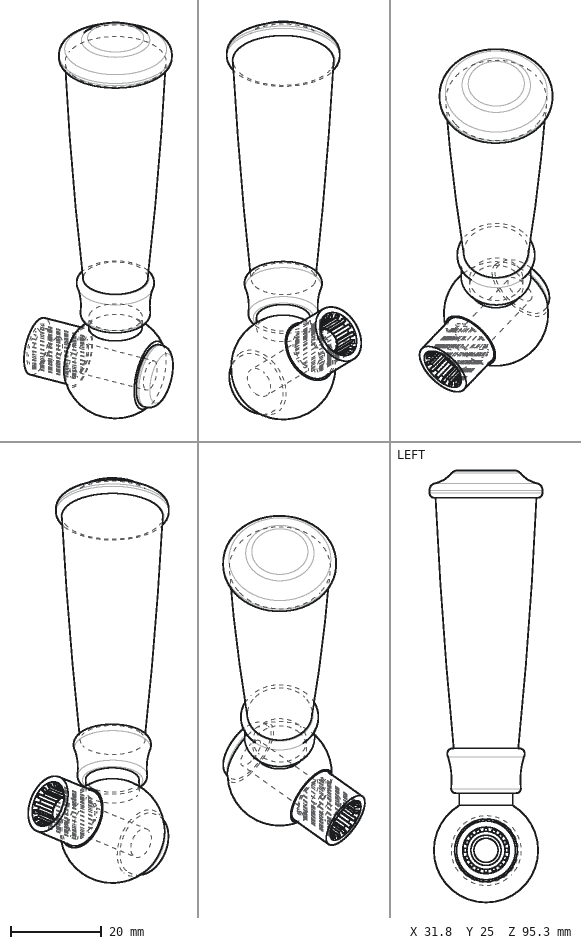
import cadquery as cq
import math


ball_radius = 11.5
ball_height = ball_radius
stem_end_x = -19.3
stem_radius = 6.5
stem_flat_x = -9.2
screw_flat_x = 8.6
neck_radius = 5.9

tooth_count = 16
tooth_tip_radius = 4.2
tooth_root_radius = 4.9
tooth_gap_width = 0.9
socket_mouth_radius = 5.1
socket_mouth_depth = 1.0
screw_hole_radius = 3.3

screw_tip_x = -15.5
screw_tip_radius = 2.7
head_radius = 7.05
head_back_round = 0.4
head_rim_end_x = 9.3
head_face_x = 11.3
head_face_radius = 5.6
head_dome_x = 12.1

collar_bottom_z = 24.1
collar_top_z = 34.0
cap_bottom_z = 89.2
cap_top_z = 95.3

collar_foot_radius = 7.7
collar_bottom_round = 1.05
waist_height = 3.8
flare_top_z = 32.1
bead_centre_radius = 7.3
bead_round = 1.2

grip_bottom_radius = 7.1
grip_middle_radius = 9.5
grip_top_radius = 11.1

cap_radius = 12.5
band_bottom_z = 90.3
band_top_z = 90.9
rim_top_z = 92.4
rim_top_radius = 11.2
cap_bottom_round = band_bottom_z - cap_bottom_z
crown_face_radius = 6.2
crown_round = 1.9
crown_slope = math.radians(45)
flank_middle_radius = 9.1
flank_middle_z = 93.3

quarter_turn = math.sin(math.radians(45))


def turned_about_z(profile):
    """Spin a closed (radius, Z) profile around the lever axis."""
    return profile.close().revolve(360, (0, 0, 0), (0, 1, 0))


def turned_about_x(profile):
    """Spin a closed (X, radius) profile around the axis through the ball's centre."""
    return profile.close().revolve(360, (0, 0, 0), (1, 0, 0)).translate((0, 0, ball_height))


def flat_edge_radius(x):
    """Radius of the circle that a flat at X cuts from the ball."""
    return math.sqrt(ball_radius**2 - x**2)


def make_ball_and_stem():
    profile = (
        cq.Workplane("XZ")
        .moveTo(stem_end_x, 0)
        .lineTo(stem_end_x, stem_radius)
        .lineTo(stem_flat_x, stem_radius)
        .lineTo(stem_flat_x, flat_edge_radius(stem_flat_x))
        .threePointArc((0, ball_radius), (screw_flat_x, flat_edge_radius(screw_flat_x)))
        .lineTo(screw_flat_x, 0)
    )
    return turned_about_x(profile)


def make_neck():
    return (
        cq.Workplane("XY", origin=(0, 0, ball_height))
        .circle(neck_radius)
        .extrude(collar_bottom_z - ball_height)
    )


def make_socket_bore():
    """Chamfered mouth, bore at the tooth tips, and a funnel down to the screw hole."""
    mouth_end_x = stem_end_x + socket_mouth_depth
    funnel_end_x = stem_flat_x + tooth_tip_radius - screw_hole_radius
    profile = (
        cq.Workplane("XZ")
        .moveTo(stem_end_x, 0)
        .lineTo(stem_end_x, socket_mouth_radius)
        .lineTo(mouth_end_x, tooth_tip_radius)
        .lineTo(stem_flat_x, tooth_tip_radius)
        .lineTo(funnel_end_x, screw_hole_radius)
        .lineTo(screw_flat_x, screw_hole_radius)
        .lineTo(screw_flat_x, 0)
    )
    return turned_about_x(profile)


def make_tooth_gaps():
    """Radial slots, open to the bore, that leave the spline teeth between them."""
    spline_length = stem_flat_x - stem_end_x
    gap = (
        cq.Workplane("XY")
        .box(spline_length, tooth_gap_width, tooth_root_radius, centered=(False, True, False))
        .translate((stem_end_x, 0, 0))
    )
    gaps = cq.Workplane("XY")
    for index in range(tooth_count):
        turned_gap = gap.rotate((0, 0, 0), (1, 0, 0), index * 360 / tooth_count)
        gaps = gaps.union(turned_gap)
    return gaps.translate((0, 0, ball_height))


def make_arm():
    body = make_ball_and_stem().union(make_neck())
    return body.cut(make_socket_bore()).cut(make_tooth_gaps())


def make_screw():
    """Domed head on the ball, with a chamfered shank that fills the hole and enters the socket."""
    back_round_middle = head_back_round * (1 - quarter_turn)
    head_round_x = head_face_x - head_rim_end_x
    head_round_radius = head_radius - head_face_radius
    dome_rise = head_dome_x - head_face_x
    dome_radius = (head_face_radius**2 + dome_rise**2) / (2 * dome_rise)
    dome_half_angle = math.asin(head_face_radius / dome_radius) / 2
    dome_middle = (
        head_dome_x - dome_radius * (1 - math.cos(dome_half_angle)),
        dome_radius * math.sin(dome_half_angle),
    )
    profile = (
        cq.Workplane("XZ")
        .moveTo(screw_tip_x, 0)
        .lineTo(screw_tip_x, screw_tip_radius)
        .lineTo(screw_tip_x + screw_hole_radius - screw_tip_radius, screw_hole_radius)
        .lineTo(screw_flat_x, screw_hole_radius)
        .lineTo(screw_flat_x, head_radius - head_back_round)
        .threePointArc(
            (screw_flat_x + back_round_middle, head_radius - back_round_middle),
            (screw_flat_x + head_back_round, head_radius),
        )
        .lineTo(head_rim_end_x, head_radius)
        .threePointArc(
            (
                head_rim_end_x + head_round_x * quarter_turn,
                head_face_radius + head_round_radius * quarter_turn,
            ),
            (head_face_x, head_face_radius),
        )
        .threePointArc(dome_middle, (head_dome_x, 0))
    )
    return turned_about_x(profile)


def make_collar():
    """Hollow waist with a rounded foot, flaring into a bead at the top."""
    foot_middle = collar_bottom_round * (1 - quarter_turn)
    waist_bottom_z = collar_bottom_z + collar_bottom_round
    bead_centre_z = collar_top_z - bead_round
    flare_top_radius = bead_centre_radius + math.sqrt(bead_round**2 - (flare_top_z - bead_centre_z) ** 2)
    profile = (
        cq.Workplane("XZ")
        .moveTo(0, collar_bottom_z)
        .lineTo(collar_foot_radius - collar_bottom_round, collar_bottom_z)
        .threePointArc(
            (collar_foot_radius - foot_middle, collar_bottom_z + foot_middle),
            (collar_foot_radius, waist_bottom_z),
        )
        .threePointArc(
            (collar_foot_radius, waist_bottom_z + waist_height),
            (flare_top_radius, flare_top_z),
        )
        .threePointArc(
            (bead_centre_radius + bead_round * quarter_turn, bead_centre_z + bead_round * quarter_turn),
            (bead_centre_radius, collar_top_z),
        )
        .lineTo(0, collar_top_z)
    )
    return turned_about_z(profile)


def make_grip():
    """Slightly barrelled taper between the collar and the cap."""
    middle_z = (collar_top_z + cap_bottom_z) / 2
    profile = (
        cq.Workplane("XZ")
        .moveTo(0, collar_top_z)
        .lineTo(grip_bottom_radius, collar_top_z)
        .threePointArc((grip_middle_radius, middle_z), (grip_top_radius, cap_bottom_z))
        .lineTo(0, cap_bottom_z)
    )
    return turned_about_z(profile)


def crown_point(angle):
    """Point on the crown's edge round, at an angle turned from its flat face."""
    radius = crown_face_radius + crown_round * math.sin(angle)
    height = cap_top_z - crown_round * (1 - math.cos(angle))
    return radius, height


def make_cap():
    """Rounded rim with a hollow flank rising to a flat crown."""
    bottom_middle = cap_bottom_round * (1 - quarter_turn)
    profile = (
        cq.Workplane("XZ")
        .moveTo(0, cap_bottom_z)
        .lineTo(cap_radius - cap_bottom_round, cap_bottom_z)
        .threePointArc(
            (cap_radius - bottom_middle, cap_bottom_z + bottom_middle),
            (cap_radius, band_bottom_z),
        )
        .lineTo(cap_radius, band_top_z)
        .tangentArcPoint((rim_top_radius, rim_top_z), relative=False)
        .threePointArc((flank_middle_radius, flank_middle_z), crown_point(crown_slope))
        .threePointArc(crown_point(crown_slope / 2), crown_point(0))
        .lineTo(0, cap_top_z)
    )
    return turned_about_z(profile)


arm = make_arm()
screw = make_screw()
collar = make_collar()
grip = make_grip()
cap = make_cap()

result = cq.Compound.makeCompound([arm.val(), screw.val(), collar.val(), grip.val(), cap.val()])